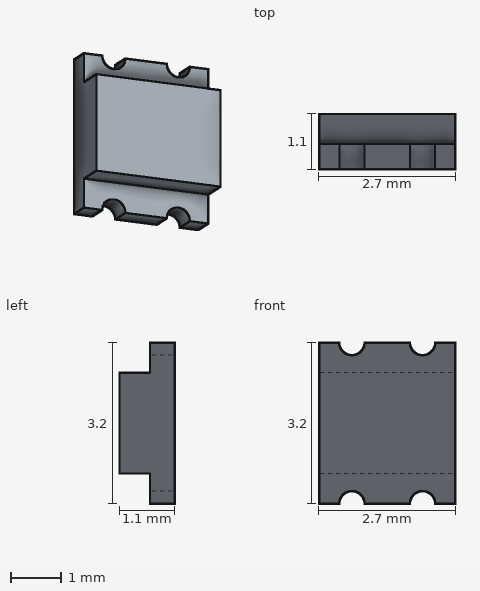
import cadquery as cq

width = 2.7
depth = 1.1
height = 3.2

board_thickness = 0.5
body_depth = depth - board_thickness
body_height = 2.0

notch_radius = 0.25
notch_spacing = 1.4

front_y = -depth / 2
board_back_y = front_y + board_thickness


def make_board():
    """Plate with two half-round notches along each horizontal edge."""
    board = cq.Workplane("XY").box(width, board_thickness, height)
    board = board.translate((0, front_y + board_thickness / 2, 0))
    notches = (
        cq.Workplane("XZ", origin=(0, board_back_y, 0))
        .rarray(notch_spacing, height, 2, 2)
        .circle(notch_radius)
        .extrude(board_thickness)
    )
    return board.cut(notches)


def make_body():
    """Full-width block on the back of the board, centred in height."""
    body = cq.Workplane("XY").box(width, body_depth, body_height)
    return body.translate((0, board_back_y + body_depth / 2, 0))


result = make_board().union(make_body())